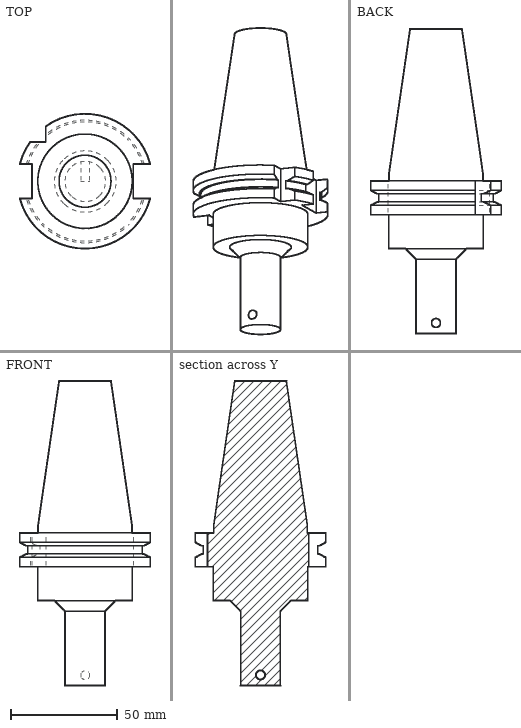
import cadquery as cq
import math

taper_length = 68.4
neck_length = 3.2
flange_thickness = 15.9
collar_bottom_z = -35.0
tip_z = -75.0

gauge_diameter = 44.45
taper_ratio = 7 / 24
collar_diameter = 44.7
flange_diameter = 63.55
shank_diameter = 19.0
shoulder_height = 5.0

groove_root_diameter = 56.25
groove_root_width = 3.75
groove_flank_angle = 30.0
groove_pin_diameter = 7.0
diameter_over_pins = 72.3

slot_width = 16.1
left_slot_floor = 25.0
right_slot_floor = 22.8
notch_offset = 18.5

cross_hole_diameter = 4.2
cross_hole_height = 5.0

gauge_radius = gauge_diameter / 2
taper_end_radius = gauge_radius - taper_length * taper_ratio / 2
collar_radius = collar_diameter / 2
flange_radius = flange_diameter / 2
shank_radius = shank_diameter / 2
flange_top_z = -neck_length
flange_bottom_z = flange_top_z - flange_thickness
flange_middle_z = (flange_top_z + flange_bottom_z) / 2


def make_body():
    """Taper, neck, flange, collar and shank as one revolved outline."""
    outline = (
        cq.Workplane("XZ")
        .moveTo(0, taper_length)
        .lineTo(taper_end_radius, taper_length)
        .lineTo(gauge_radius, 0)
        .lineTo(gauge_radius, flange_top_z)
        .lineTo(flange_radius, flange_top_z)
        .lineTo(flange_radius, flange_bottom_z)
        .lineTo(collar_radius, flange_bottom_z)
        .lineTo(collar_radius, collar_bottom_z)
        .lineTo(shank_radius + shoulder_height, collar_bottom_z)
        .lineTo(shank_radius, collar_bottom_z - shoulder_height)
        .lineTo(shank_radius, tip_z)
        .lineTo(0, tip_z)
        .close()
    )
    return outline.revolve(360, (0, 0, 0), (0, 1, 0))


def make_groove():
    """Ring with a straight-walled root that opens into sloping flanks."""
    flank_angle = math.radians(groove_flank_angle)
    root_radius = groove_root_diameter / 2
    root_half_width = groove_root_width / 2
    pin_radius = groove_pin_diameter / 2
    pin_center_radius = diameter_over_pins / 2 - pin_radius
    half_width_at_pin = pin_radius / math.cos(flank_angle)
    mouth_half_width = half_width_at_pin - (pin_center_radius - flange_radius) * math.tan(flank_angle)
    flank_start_radius = flange_radius - (mouth_half_width - root_half_width) / math.tan(flank_angle)
    outline = (
        cq.Workplane("XZ")
        .moveTo(root_radius, flange_middle_z + root_half_width)
        .lineTo(flank_start_radius, flange_middle_z + root_half_width)
        .lineTo(flange_radius, flange_middle_z + mouth_half_width)
        .lineTo(flange_radius, flange_middle_z - mouth_half_width)
        .lineTo(flank_start_radius, flange_middle_z - root_half_width)
        .lineTo(root_radius, flange_middle_z - root_half_width)
        .close()
    )
    return outline.revolve(360, (0, 0, 0), (0, 1, 0))


def make_flange_cutter(x_start, x_end, y_start, y_end):
    """Block through the full thickness of the flange."""
    return (
        cq.Workplane("XY", origin=(0, 0, flange_bottom_z))
        .moveTo(x_start, y_start)
        .lineTo(x_end, y_start)
        .lineTo(x_end, y_end)
        .lineTo(x_start, y_end)
        .close()
        .extrude(flange_thickness)
    )


def make_cross_hole():
    """Radial hole from the +Y side of the shank to its axis."""
    return (
        cq.Workplane("XZ", origin=(0, 0, tip_z + cross_hole_height))
        .circle(cross_hole_diameter / 2)
        .extrude(-shank_radius)
    )


slot_half_width = slot_width / 2
left_slot = make_flange_cutter(-flange_radius, -left_slot_floor, -slot_half_width, slot_half_width)
right_slot = make_flange_cutter(right_slot_floor, flange_radius, -slot_half_width, slot_half_width)
orientation_notch = make_flange_cutter(-flange_radius, -notch_offset, notch_offset, flange_radius)

result = make_body().cut(make_groove())
for cutter in (left_slot, right_slot, orientation_notch, make_cross_hole()):
    result = result.cut(cutter)